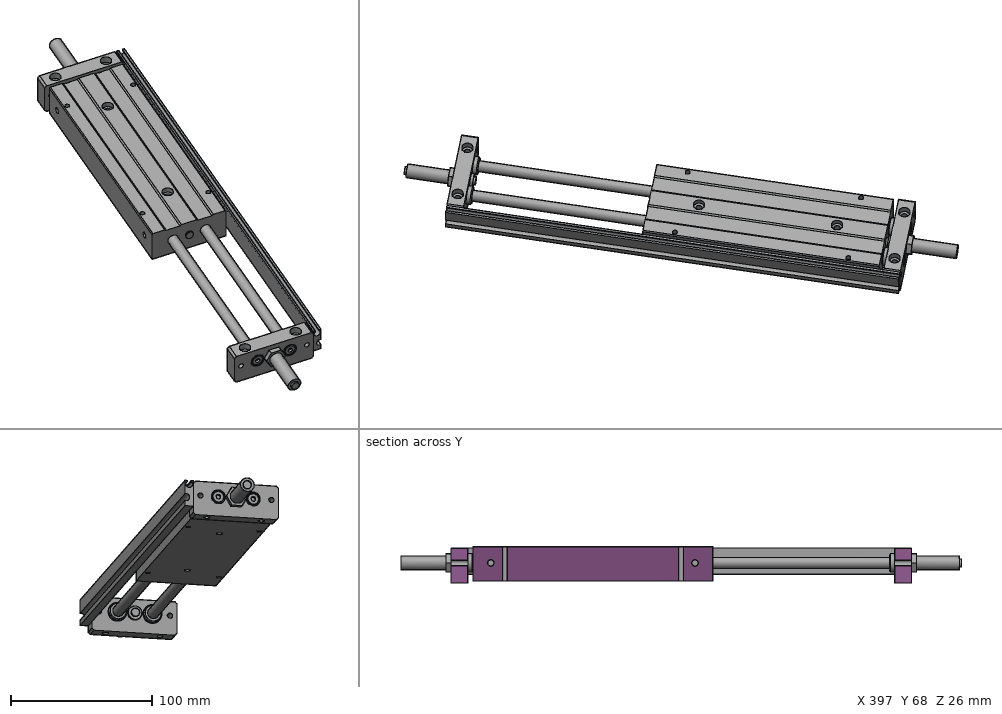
import cadquery as cq

OVERALL_LENGTH = 397.0
OVERALL_HEIGHT = 26.0
AXIS_Z = 1.3

FRAME_LENGTH = 326.0
PLATE_THICKNESS = 12.0
PLATE_WIDTH = 62.0
PLATE_BOTTOM = -OVERALL_HEIGHT / 2
PLATE_HEIGHT = 24.5
PLATE_CHAMFER = 1.5
PLATE_OUTER_X = FRAME_LENGTH / 2
PLATE_INNER_X = PLATE_OUTER_X - PLATE_THICKNESS
PLATE_CENTER_X = PLATE_OUTER_X - PLATE_THICKNESS / 2

MOUNT_HOLE_DIAMETER = 4.5
MOUNT_BORE_DIAMETER = 8.0
MOUNT_BORE_DEPTH = 5.0
MOUNT_HOLE_OFFSET = 20.0
END_HOLE_DIAMETER = 3.7
END_HOLE_OFFSET = 26.0

ROD_DIAMETER = 8.0
ROD_OFFSET = 12.7
ROD_SEAT_DIAMETER = 10.0
ROD_SEAT_DEPTH = 1.5
ROD_CENTER_HOLE_DIAMETER = 3.3
ROD_CENTER_HOLE_DEPTH = 2.0
COLLAR_DIAMETER = 13.0
COLLAR_LENGTH = 3.5
COLLAR_CHAMFER = 0.8

RAIL_INSET = 0.2
RAIL_LENGTH = FRAME_LENGTH - 2 * RAIL_INSET
RAIL_THICKNESS = 6.0
RAIL_TOP = 12.0
RAIL_HEIGHT = 18.5
CENTER_Y = -RAIL_THICKNESS / 2
TOP_GROOVE_DIAMETER = 4.8
TOP_GROOVE_DEPTH = 2.8
TOP_GROOVE_OPENING = 2.8
SIDE_GROOVE_DIAMETER = 5.0
SIDE_GROOVE_DEPTH = 0.8
SIDE_GROOVE_HEIGHT = 6.5

CARRIAGE_LENGTH = 170.0
CARRIAGE_WIDTH = 58.0
CARRIAGE_TOP = OVERALL_HEIGHT / 2
CARRIAGE_BOTTOM = -11.5
CARRIAGE_LEFT = -PLATE_INNER_X + COLLAR_LENGTH
CARRIAGE_CENTER_X = CARRIAGE_LEFT + CARRIAGE_LENGTH / 2
CARRIAGE_RIGHT = CARRIAGE_LEFT + CARRIAGE_LENGTH
CARRIAGE_CHAMFER = 0.8
RECESS_HALF_WIDTH = 19.0
RECESS_DEPTH = 0.8
LAND_HALF_WIDTH = 6.0
STEP_RUN = 1.0

TABLE_HOLE_DIAMETER = 4.5
TABLE_BORE_DIAMETER = 8.0
TABLE_BORE_DEPTH = 4.0
TABLE_HOLE_PITCH = 99.2
EDGE_HOLE_DIAMETER = 3.3
EDGE_HOLE_PITCH = 124.5
EDGE_HOLE_OFFSET = 26.0
SIDE_HOLE_DIAMETER = 4.5
SIDE_HOLE_DEPTH = 6.0
SIDE_HOLE_PITCH = 144.5
STUD_DIAMETER = 6.0
STUD_LENGTH = 1.0

BOLT_DIAMETER = 10.0
SOCKET_DIAMETER = 6.0
SOCKET_DEPTH = 1.0
TIP_DIAMETER = 6.0
TIP_LENGTH = 1.5
BOLT_INNER_X = PLATE_INNER_X - COLLAR_LENGTH
BOLT_OUTER_X = OVERALL_LENGTH / 2
NUT_ACROSS_FLATS = 13.0
NUT_THICKNESS = 3.5

SIDES = (-1, 1)
HEX_CORNER_RATIO = 2 / 3 ** 0.5


def cylinder_x(x_start, x_end, y, diameter):
    """Cylinder along X at the height of the rods."""
    plane = cq.Workplane("YZ", origin=(x_start, y, AXIS_Z))
    return plane.circle(diameter / 2).extrude(x_end - x_start)


def box_between(x_range, y_range, z_range):
    """Box given by its limits along each axis."""
    sizes = [limits[1] - limits[0] for limits in (x_range, y_range, z_range)]
    corner = (x_range[0], y_range[0], z_range[0])
    return cq.Workplane("XY").box(*sizes, centered=False).translate(corner)


def make_end_plate(side):
    """End plate with chamfered long edges, counterbored mounting holes and end holes."""
    plate = (
        cq.Workplane("XY")
        .box(PLATE_THICKNESS, PLATE_WIDTH, PLATE_HEIGHT)
        .edges("|X")
        .chamfer(PLATE_CHAMFER)
        .translate((side * PLATE_CENTER_X, CENTER_Y, PLATE_BOTTOM + PLATE_HEIGHT / 2))
    )
    mount_points = [
        (side * PLATE_CENTER_X, CENTER_Y + y_side * MOUNT_HOLE_OFFSET) for y_side in SIDES
    ]
    plate = (
        plate.faces(">Z")
        .workplane(origin=(0, 0, 0))
        .pushPoints(mount_points)
        .cboreHole(MOUNT_HOLE_DIAMETER, MOUNT_BORE_DIAMETER, MOUNT_BORE_DEPTH)
    )
    for y_side in SIDES:
        hole_y = CENTER_Y + y_side * END_HOLE_OFFSET
        plate = plate.cut(cylinder_x(side * PLATE_INNER_X, side * PLATE_OUTER_X, hole_y, END_HOLE_DIAMETER))
    return plate


def make_rail():
    """Sensor rail with a round groove open at the top and another open at the outer side."""
    inner_y = CENTER_Y + PLATE_WIDTH / 2
    outer_y = inner_y + RAIL_THICKNESS
    middle_y = inner_y + RAIL_THICKNESS / 2
    bottom = RAIL_TOP - RAIL_HEIGHT
    ends = (-RAIL_LENGTH / 2, RAIL_LENGTH / 2)
    rail = box_between(ends, (inner_y, outer_y), (bottom, RAIL_TOP))

    top_axis_z = RAIL_TOP - TOP_GROOVE_DEPTH
    side_axis = (outer_y - SIDE_GROOVE_DEPTH, bottom + SIDE_GROOVE_HEIGHT)
    end_plane = cq.Workplane("YZ", origin=(ends[0], 0, 0))
    top_groove = end_plane.center(middle_y, top_axis_z).circle(TOP_GROOVE_DIAMETER / 2).extrude(RAIL_LENGTH)
    side_groove = end_plane.center(*side_axis).circle(SIDE_GROOVE_DIAMETER / 2).extrude(RAIL_LENGTH)
    opening_y = (middle_y - TOP_GROOVE_OPENING / 2, middle_y + TOP_GROOVE_OPENING / 2)
    opening = box_between(ends, opening_y, (top_axis_z, RAIL_TOP))
    return rail.cut(top_groove).cut(opening).cut(side_groove)


def make_collar(side, y):
    """Chamfered collar around a rod, standing on the inner face of an end plate."""
    plate_face = side * PLATE_INNER_X
    free_face = side * (PLATE_INNER_X - COLLAR_LENGTH)
    collar = cylinder_x(plate_face, free_face, y, COLLAR_DIAMETER)
    return collar.faces("<X" if side > 0 else ">X").chamfer(COLLAR_CHAMFER)


def add_rod(frame, y):
    """Add a guide rod with its collars; both rod ends sit in ring-shaped recesses of the plates."""
    for side in SIDES:
        seat_floor = side * (PLATE_OUTER_X - ROD_SEAT_DEPTH)
        frame = frame.union(make_collar(side, y))
        frame = frame.cut(cylinder_x(seat_floor, side * PLATE_OUTER_X, y, ROD_SEAT_DIAMETER))
    frame = frame.union(cylinder_x(-PLATE_OUTER_X, PLATE_OUTER_X, y, ROD_DIAMETER))
    for side in SIDES:
        hole_floor = side * (PLATE_OUTER_X - ROD_CENTER_HOLE_DEPTH)
        frame = frame.cut(cylinder_x(hole_floor, side * PLATE_OUTER_X, y, ROD_CENTER_HOLE_DIAMETER))
    return frame


def make_frame():
    """End plates joined by the guide rods and the sensor rail, bored for the stop bolts."""
    frame = make_rail()
    for side in SIDES:
        frame = frame.union(make_end_plate(side))
    for y_side in SIDES:
        frame = add_rod(frame, CENTER_Y + y_side * ROD_OFFSET)
    for side in SIDES:
        frame = frame.cut(cylinder_x(side * BOLT_INNER_X, side * PLATE_OUTER_X, CENTER_Y, BOLT_DIAMETER))
    return frame


def make_carriage():
    """Table body sliding on the rods, with a stepped top face."""
    width_half = CARRIAGE_WIDTH / 2
    recess_z = CARRIAGE_TOP - RECESS_DEPTH
    land_foot = LAND_HALF_WIDTH + STEP_RUN
    half_outline = [
        (width_half, CARRIAGE_BOTTOM),
        (width_half, CARRIAGE_TOP - CARRIAGE_CHAMFER),
        (width_half - CARRIAGE_CHAMFER, CARRIAGE_TOP),
        (RECESS_HALF_WIDTH, CARRIAGE_TOP),
        (RECESS_HALF_WIDTH - STEP_RUN, recess_z),
        (land_foot, recess_z),
        (LAND_HALF_WIDTH, CARRIAGE_TOP),
    ]
    outline = half_outline + [(-y, z) for y, z in reversed(half_outline)]
    carriage = (
        cq.Workplane("YZ", origin=(CARRIAGE_LEFT, CENTER_Y, 0))
        .polyline(outline)
        .close()
        .extrude(CARRIAGE_LENGTH)
    )

    top = cq.Workplane("XY", origin=(CARRIAGE_CENTER_X, CENTER_Y, CARRIAGE_TOP))
    height = CARRIAGE_TOP - CARRIAGE_BOTTOM
    table_holes = top.rarray(TABLE_HOLE_PITCH, 4, 2, 1)
    carriage = carriage.cut(table_holes.circle(TABLE_HOLE_DIAMETER / 2).extrude(-height))
    carriage = carriage.cut(table_holes.circle(TABLE_BORE_DIAMETER / 2).extrude(-TABLE_BORE_DEPTH))
    edge_holes = top.rarray(EDGE_HOLE_PITCH, 2 * EDGE_HOLE_OFFSET, 2, 2)
    carriage = carriage.cut(edge_holes.circle(EDGE_HOLE_DIAMETER / 2).extrude(-height))

    side_holes = (
        cq.Workplane("XZ", origin=(CARRIAGE_CENTER_X, CENTER_Y - width_half, AXIS_Z))
        .rarray(SIDE_HOLE_PITCH, 4, 2, 1)
    )
    carriage = carriage.cut(side_holes.circle(SIDE_HOLE_DIAMETER / 2).extrude(-SIDE_HOLE_DEPTH))
    for y_side in SIDES:
        rod_y = CENTER_Y + y_side * ROD_OFFSET
        carriage = carriage.cut(cylinder_x(CARRIAGE_LEFT, CARRIAGE_RIGHT, rod_y, ROD_DIAMETER))
    stud = cylinder_x(CARRIAGE_RIGHT, CARRIAGE_RIGHT + STUD_LENGTH, CENTER_Y, STUD_DIAMETER)
    return carriage.union(stud)


def make_stop_bolt(side):
    """Stop bolt with a reduced inner tip and a lock nut; the +X bolt has an outer tip, the other a socket."""
    inner_body_x = side * (BOLT_INNER_X + TIP_LENGTH)
    outer_tip = TIP_LENGTH if side > 0 else 0
    outer_body_x = side * (BOLT_OUTER_X - outer_tip)
    bolt = cylinder_x(inner_body_x, outer_body_x, CENTER_Y, BOLT_DIAMETER)
    bolt = bolt.union(cylinder_x(side * BOLT_INNER_X, inner_body_x, CENTER_Y, TIP_DIAMETER))
    if outer_tip:
        bolt = bolt.union(cylinder_x(outer_body_x, side * BOLT_OUTER_X, CENTER_Y, TIP_DIAMETER))
    else:
        socket_floor = outer_body_x - side * SOCKET_DEPTH
        bolt = bolt.cut(cylinder_x(socket_floor, outer_body_x, CENTER_Y, SOCKET_DIAMETER))
    nut = (
        cq.Workplane("YZ", origin=(side * PLATE_OUTER_X, CENTER_Y, AXIS_Z))
        .polygon(6, NUT_ACROSS_FLATS * HEX_CORNER_RATIO)
        .extrude(side * NUT_THICKNESS)
    )
    return bolt.union(nut)


frame = make_frame()
carriage = make_carriage()
stop_bolts = [make_stop_bolt(side) for side in SIDES]

result = cq.Compound.makeCompound(
    [frame.val(), carriage.val(), *[bolt.val() for bolt in stop_bolts]]
)